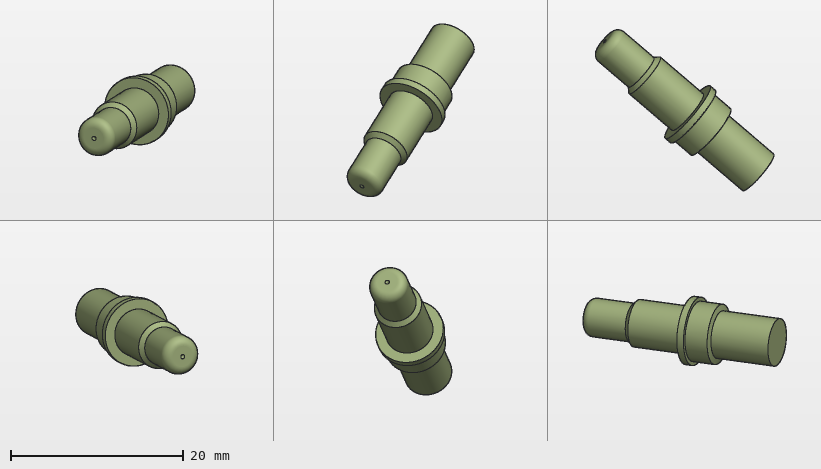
import cadquery as cq
import math


tip_radius = 2.275
shank_radius = 2.8
flange_radius = 4.015
collar_radius = 3.55

total_length = 23.82
tip_length = 5.65
shank_chamfer_length = 0.55
flange_front = 12.87
flange_thickness = 0.83
collar_length = 2.78
collar_taper_length = 0.17

tip_rounding = 1.0
dimple_radius = 0.25
dimple_angle = 118

flange_back = flange_front + flange_thickness
collar_edge = flange_back + collar_length
collar_back = collar_edge + collar_taper_length


def make_turned_body():
    """Revolve the half outline, with X as radius, about the Y axis."""
    arc_middle = tip_rounding * math.sin(math.radians(45))
    outline = (
        cq.Workplane("XY")
        .lineTo(tip_radius - tip_rounding, 0)
        .threePointArc(
            (tip_radius - tip_rounding + arc_middle, tip_rounding - arc_middle),
            (tip_radius, tip_rounding),
        )
        .lineTo(tip_radius, tip_length)
        .lineTo(shank_radius, tip_length + shank_chamfer_length)
        .lineTo(shank_radius, flange_front)
        .lineTo(flange_radius, flange_front)
        .lineTo(flange_radius, flange_back)
        .lineTo(collar_radius, flange_back)
        .lineTo(collar_radius, collar_edge)
        .lineTo(shank_radius, collar_back)
        .lineTo(shank_radius, total_length)
        .lineTo(0, total_length)
        .close()
    )
    return outline.revolve(360, (0, 0), (0, 1))


def make_tip_dimple():
    """Conical centre mark that is widest at the tip face."""
    depth = dimple_radius / math.tan(math.radians(dimple_angle / 2))
    outline = cq.Workplane("XY").lineTo(dimple_radius, 0).lineTo(0, depth).close()
    return outline.revolve(360, (0, 0), (0, 1))


result = make_turned_body().cut(make_tip_dimple())